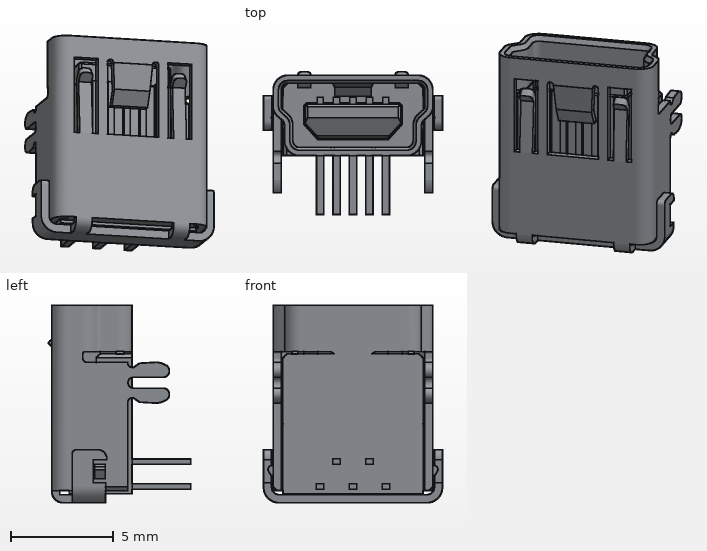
import cadquery as cq
import math

SIDES = (-1, 1)

HEIGHT = 9.6
SHEET = 0.4
SHELL_HALF_WIDTH = 3.88
SHELL_DEPTH = 3.91
SHELL_BOTTOM = 0.6
MOUTH_BOTTOM = 7.34
MOUTH_HALF_WIDTH = 3.32
OUTER_RADIUS = 0.72
STEP_ANGLE = 48
STEP_BACK_RADIUS = 0.63
STEP_FRONT_RADIUS = 0.3
NOTCH_BACK_Y = 2.39
STEP_BACK_Y = NOTCH_BACK_Y - STEP_BACK_RADIUS * math.tan(math.radians(STEP_ANGLE / 2))
STEP_FRONT_Y = STEP_BACK_Y - (SHELL_HALF_WIDTH - MOUTH_HALF_WIDTH) / math.tan(math.radians(STEP_ANGLE))
LIP_WIDTH = 0.14
LIP_DEPTH = 0.26
BACK_INNER_Y = SHELL_DEPTH - SHEET
SIDE_INNER_X = SHELL_HALF_WIDTH - SHEET

SIDE_FRONT_Y = 0.2
NOTCH_BOTTOM = 6.83
NOTCH_BOTTOM_RADIUS = 0.2
NOTCH_TOP_RADIUS = 0.12
SIDE_BEVEL = 0.19
SIDE_BEVEL_LENGTH = 1.92

HOOK_CENTRE_Z = 5.84
HOOK_SLOT_HALF = 0.26
HOOK_TIP = (-1.81, 0.56)
HOOK_NECK_RISE = 0.9

WINDOW_TOP = 8.53
WINDOW_BOTTOM = 4.8
ARM_CENTRE_X = 2.36
ARM_WIDTH = 0.64
ARM_TIP_WIDTH = 0.19
ARM_TIP_Y = 4.08
ARM_TIP_Z = 7.77
ARM_BEND_Y = 3.28
ARM_BEND_RADIUS = 0.48
WINDOW_WIDTH = 1.19
TAB_HALF_WIDTH = 0.99
TAB_TIP_HALF_WIDTH = 0.89
SLIT_WIDTH = 0.3
TAB_HINGE_Z = 8.45
TAB_BEND_Y = 3.32
TAB_BEND_Z = 7.1
TAB_TIP_Y = 2.89
TAB_TIP_Z = 6.38

HOUSING_HALF_WIDTH = 3.4
HOUSING_BOTTOM = 0.44
HOUSING_TOP = 7.24
FLOOR_Z = 3.84
EAR_BACK_Y = 1.75
EAR_THICKNESS = 0.42
FRONT_WALL = 0.4
EAR_CHAMFER = 0.19
BACK_CHAMFER = 0.21
FOOT_BACK_Y = 3.05
BRIDGE_HALF_WIDTH = 0.92
BRIDGE_FLARE = 0.16

TONGUE_HALF_WIDTH = 2.4
TONGUE_FRONT_HALF_WIDTH = 1.71
TONGUE_FRONT_Y = 0.78
TONGUE_SHOULDER_Y = 1.54
TONGUE_BACK_Y = 2.57
TONGUE_CORNER = 0.16
TONGUE_TOP = 8.67
TONGUE_RIDGE_Y = 1.83
TONGUE_SLOPE = 27
TONGUE_STEP_Z = 7.68
TONGUE_STEP = 0.08
TONGUE_CHAMFER = 0.12
PITCH = 0.8
CONTACT_WIDTH = 0.31
CONTACT_BACK_Y = 2.82
CONTACT_TOP = 7.68

PIN_WIDTH = 0.36
PIN_HEIGHT = 0.27
PIN_LENGTH = 2.86
LOW_PIN_Z = 0.8
HIGH_PIN_Z = 2.01

CLIP_HALF_WIDTH = 4.35
CLIP_BACK_Y = 2.91
CLIP_FRONT_Y = 1.29
CLIP_HOOK_Y = 1.22
CLIP_TOP = 2.59
CLIP_RADIUS = 0.77
CLIP_SLOT_BACK_Y = 1.88
CLIP_SLOT_BOTTOM = 0.99
CLIP_SLOT_TOP = 2.1
CLIP_BACK_RADIUS = 0.22
CLIP_FRONT_RADIUS = 0.47
TAIL_INNER_X = 2.05
TAIL_OUTER_X = 2.86
TAIL_RADIUS = 0.58

BARB_FRONT_Y = 1.3
BARB_BACK_Y = 1.81
BARB_POINT_X = 4.14


def box(x0, x1, y0, y1, z0, z1):
    return cq.Workplane("XY").box(x1 - x0, y1 - y0, z1 - z0, centered=False).translate((x0, y0, z0))


def side_prism(outline, x0, x1):
    """Extrude a closed (Y, Z) outline from x0 to x1."""
    return outline.extrude(x1 - x0).translate((x0, 0, 0))


def yz_polygon(points, x0, x1):
    return side_prism(cq.Workplane("YZ").polyline(points).close(), x0, x1)


def around(y, z):
    """Selector for edges whose middle lies at the given Y and Z, at any X."""
    reach = 0.01
    return cq.selectors.BoxSelector((-HEIGHT, y - reach, z - reach), (HEIGHT, y + reach, z + reach))


def mirrored(half):
    return half.union(half.mirror("YZ"))


def shell_blank():
    """Full-height solid of the stepped mouth outline, rounded at every upright edge."""
    right = [
        (MOUTH_HALF_WIDTH, 0),
        (MOUTH_HALF_WIDTH, STEP_FRONT_Y),
        (SHELL_HALF_WIDTH, STEP_BACK_Y),
        (SHELL_HALF_WIDTH, SHELL_DEPTH),
    ]
    left = [(-x, y) for x, y in reversed(right)]
    blank = cq.Workplane("XY").polyline(right + left).close().extrude(HEIGHT)
    upright_edges = (
        (0, OUTER_RADIUS),
        (STEP_FRONT_Y, STEP_FRONT_RADIUS),
        (STEP_BACK_Y, STEP_BACK_RADIUS),
        (SHELL_DEPTH, OUTER_RADIUS),
    )
    for y, radius in upright_edges:
        blank = blank.edges("|Z").edges(around(y, HEIGHT / 2)).fillet(radius)
    return blank


def tube():
    """Bent wall around the opening, with a flared lip, cut back to the back half below the mouth."""
    blank = shell_blank()
    top_outline = blank.faces(">Z").wires().toPending()
    bore = top_outline.offset2D(-SHEET).extrude(-HEIGHT, combine=False)
    flare_angle = math.degrees(math.atan(LIP_WIDTH / LIP_DEPTH))
    flare = (
        blank.faces(">Z").wires().toPending().offset2D(LIP_WIDTH - SHEET)
        .extrude(-LIP_DEPTH, combine=False, taper=flare_angle)
    )
    wall = blank.cut(bore).cut(flare)
    wall = wall.cut(box(-HEIGHT, HEIGHT, 0, SHELL_DEPTH, 0, SHELL_BOTTOM))
    return wall.cut(box(-HEIGHT, HEIGHT, 0, NOTCH_BACK_Y, 0, MOUTH_BOTTOM))


def side_panels():
    """Flat side walls below the notch, bevelled along their lower outside edge."""
    panel = box(SIDE_INNER_X, SHELL_HALF_WIDTH, SIDE_FRONT_Y, NOTCH_BACK_Y, SHELL_BOTTOM, NOTCH_BOTTOM)
    bevel = (
        cq.Workplane("XZ")
        .polyline([
            (SHELL_HALF_WIDTH, SHELL_BOTTOM),
            (SHELL_HALF_WIDTH, SHELL_BOTTOM + SIDE_BEVEL),
            (SHELL_HALF_WIDTH - SIDE_BEVEL, SHELL_BOTTOM),
        ])
        .close()
        .extrude(-SIDE_FRONT_Y - SIDE_BEVEL_LENGTH)
    )
    return mirrored(panel.cut(bevel))


def round_notches(shell):
    """Round the closed end of the side notches, more at the bottom than at the top."""
    for z, radius in ((NOTCH_BOTTOM, NOTCH_BOTTOM_RADIUS), (MOUTH_BOTTOM, NOTCH_TOP_RADIUS)):
        shell = shell.edges("|X").edges(around(NOTCH_BACK_Y, z)).fillet(radius)
    return shell


def board_hooks():
    """Forked hooks that continue the side walls; the lower prong mirrors the upper one."""
    def prong(sign):
        def at(y, rise):
            return (y, HOOK_CENTRE_Z + sign * rise)

        outline = (
            cq.Workplane("YZ")
            .moveTo(*at(NOTCH_BACK_Y, 0))
            .lineTo(*at(SIDE_FRONT_Y, 0))
            .threePointArc(at(0.12, 0.18), at(-0.06, HOOK_SLOT_HALF))
            .lineTo(*at(-1.56, HOOK_SLOT_HALF))
            .threePointArc(at(*HOOK_TIP), at(-1.62, 0.86))
            .threePointArc(at(-1.43, 0.95), at(-1.18, 1.0))
            .lineTo(*at(-0.36, 0.95))
            .lineTo(*at(-0.15, 0.81))
            .threePointArc(at(0.06, 0.75), at(SIDE_FRONT_Y, HOOK_NECK_RISE))
            .lineTo(*at(NOTCH_BACK_Y, HOOK_NECK_RISE))
            .close()
        )
        return side_prism(outline, SIDE_INNER_X, SHELL_HALF_WIDTH)

    return mirrored(prong(1).union(prong(-1)))


def back_openings():
    """Two windows for the spring arms and a wider one, rounded at the top, around the tab."""
    cuts = box(
        -TAB_HALF_WIDTH - SLIT_WIDTH, TAB_HALF_WIDTH + SLIT_WIDTH,
        BACK_INNER_Y, SHELL_DEPTH, WINDOW_BOTTOM, WINDOW_TOP - SLIT_WIDTH / 2,
    )
    for side in SIDES:
        slit_x = side * (TAB_HALF_WIDTH + SLIT_WIDTH / 2)
        slit_end = (
            cq.Workplane("XZ").center(slit_x, WINDOW_TOP - SLIT_WIDTH / 2)
            .circle(SLIT_WIDTH / 2).extrude(-SHEET).translate((0, BACK_INNER_Y, 0))
        )
        middle = side * ARM_CENTRE_X
        window = box(
            middle - WINDOW_WIDTH / 2, middle + WINDOW_WIDTH / 2,
            BACK_INNER_Y, SHELL_DEPTH, WINDOW_BOTTOM, WINDOW_TOP,
        )
        cuts = cuts.union(slit_end).union(window)
    return cuts


def bent_tab():
    """Tab hinged at its top, bent into the cavity in two steps and narrowing below the hinge."""
    inner = [
        (BACK_INNER_Y, WINDOW_TOP),
        (BACK_INNER_Y, TAB_HINGE_Z),
        (TAB_BEND_Y, TAB_BEND_Z),
        (TAB_TIP_Y, TAB_TIP_Z),
    ]
    outer = [(y + SHEET, z) for y, z in reversed(inner)]
    width_outline = [
        (-TAB_HALF_WIDTH, WINDOW_TOP),
        (-TAB_HALF_WIDTH, TAB_HINGE_Z),
        (-TAB_TIP_HALF_WIDTH, TAB_BEND_Z),
        (-TAB_TIP_HALF_WIDTH, TAB_TIP_Z),
        (TAB_TIP_HALF_WIDTH, TAB_TIP_Z),
        (TAB_TIP_HALF_WIDTH, TAB_BEND_Z),
        (TAB_HALF_WIDTH, TAB_HINGE_Z),
        (TAB_HALF_WIDTH, WINDOW_TOP),
    ]
    narrowing = cq.Workplane("XZ").polyline(width_outline).close().extrude(-SHELL_DEPTH)
    return yz_polygon(inner + outer, -TAB_HALF_WIDTH, TAB_HALF_WIDTH).intersect(narrowing)


def spring_arms():
    """Arms rising from the window sills, bent inwards and then out through the back wall."""
    diagonal = SHEET / math.sqrt(2)
    tip = (ARM_TIP_Y, ARM_TIP_Z)
    tip_inner = (ARM_TIP_Y - diagonal, ARM_TIP_Z + diagonal)
    inner_bend = (ARM_BEND_Y, tip_inner[1] - (tip_inner[0] - ARM_BEND_Y))
    outer_bend_y = ARM_BEND_Y + SHEET
    outer_bend = (outer_bend_y, ARM_TIP_Z - (ARM_TIP_Y - outer_bend_y))
    outline = [
        (BACK_INNER_Y, WINDOW_BOTTOM), inner_bend, tip_inner, tip, outer_bend, (SHELL_DEPTH, WINDOW_BOTTOM),
    ]
    arm = yz_polygon(outline, ARM_CENTRE_X - ARM_WIDTH / 2, ARM_CENTRE_X + ARM_WIDTH / 2)
    arm = arm.edges(around(*inner_bend)).fillet(ARM_BEND_RADIUS)
    end_middle = around((tip[0] + tip_inner[0]) / 2, (tip[1] + tip_inner[1]) / 2)
    arm = arm.edges(end_middle).edges("not |X").fillet((ARM_WIDTH - ARM_TIP_WIDTH) / 2)
    return mirrored(arm)


def barbs():
    """Pointed barbs on the side walls that snap behind the clip."""
    outline = [
        (SIDE_INNER_X, 1.87),
        (SHELL_HALF_WIDTH, 1.87),
        (4.07, 1.77),
        (BARB_POINT_X, 1.61),
        (SHELL_HALF_WIDTH, 1.17),
        (SIDE_INNER_X, 1.17),
    ]
    barb = cq.Workplane("XZ").polyline(outline).close().extrude(BARB_FRONT_Y - BARB_BACK_Y)
    return mirrored(barb.translate((0, BARB_FRONT_Y, 0)))


def clip():
    """Bottom strip with two upturned, slotted ends, hung from the back wall by two bent tails."""
    def u_blank(half_width, z0, radius):
        block = box(-half_width, half_width, CLIP_HOOK_Y, CLIP_BACK_Y, z0, CLIP_TOP)
        return block.edges("|Y and <Z").fillet(radius)

    strip = u_blank(CLIP_HALF_WIDTH, 0, CLIP_RADIUS)
    strip = strip.cut(u_blank(CLIP_HALF_WIDTH - SHEET, SHEET, CLIP_RADIUS - SHEET))
    outline = [
        (CLIP_BACK_Y, 0),
        (CLIP_BACK_Y, CLIP_TOP),
        (CLIP_HOOK_Y, CLIP_TOP),
        (CLIP_HOOK_Y, CLIP_SLOT_TOP),
        (CLIP_SLOT_BACK_Y, CLIP_SLOT_TOP),
        (CLIP_SLOT_BACK_Y, CLIP_SLOT_BOTTOM),
        (CLIP_FRONT_Y, CLIP_SLOT_BOTTOM),
        (CLIP_FRONT_Y, 0),
    ]
    side_shape = yz_polygon(outline, -CLIP_HALF_WIDTH, CLIP_HALF_WIDTH)
    side_shape = side_shape.edges("|X and >Z and >Y").fillet(CLIP_BACK_RADIUS)
    side_shape = side_shape.edges("|X and >Z and <Y").fillet(CLIP_FRONT_RADIUS)

    tail = box(TAIL_INNER_X, TAIL_OUTER_X, CLIP_BACK_Y, SHELL_DEPTH, 0, SHELL_BOTTOM)
    tail = tail.edges("|X and >Y and <Z").fillet(TAIL_RADIUS)
    tail = tail.cut(box(TAIL_INNER_X, TAIL_OUTER_X, CLIP_BACK_Y, BACK_INNER_Y, SHEET, SHELL_BOTTOM))
    return strip.intersect(side_shape).union(mirrored(tail))


def housing():
    """Moulded block with a cavity floor, a front wall and an ear along each side."""
    base = box(-HOUSING_HALF_WIDTH, HOUSING_HALF_WIDTH, 0, BACK_INNER_Y, HOUSING_BOTTOM, FLOOR_Z)
    base = base.edges("|Z and >Y").chamfer(BACK_CHAMFER)
    base = base.cut(box(-HEIGHT, HEIGHT, FOOT_BACK_Y, SHELL_DEPTH, 0, SHELL_BOTTOM))
    rim = box(-HOUSING_HALF_WIDTH, HOUSING_HALF_WIDTH, 0, EAR_BACK_Y, FLOOR_Z, HOUSING_TOP)
    rim = rim.faces(">Z").edges("|Y or >Y").chamfer(EAR_CHAMFER)
    inner_half_width = HOUSING_HALF_WIDTH - EAR_THICKNESS
    rim = rim.cut(box(-inner_half_width, inner_half_width, FRONT_WALL, EAR_BACK_Y, FLOOR_Z, HOUSING_TOP))
    bridge_top = BRIDGE_HALF_WIDTH + BRIDGE_FLARE
    bridge = (
        cq.Workplane("XZ")
        .polyline([
            (-BRIDGE_HALF_WIDTH, HOUSING_TOP),
            (BRIDGE_HALF_WIDTH, HOUSING_TOP),
            (bridge_top, MOUTH_BOTTOM),
            (-bridge_top, MOUTH_BOTTOM),
        ])
        .close()
        .extrude(-SHEET)
    )
    return base.union(rim).union(bridge)


def tongue():
    """Contact carrier: a bevelled root and a slightly smaller tip with a sloped front half."""
    right = [
        (TONGUE_FRONT_HALF_WIDTH, TONGUE_FRONT_Y),
        (TONGUE_HALF_WIDTH, TONGUE_SHOULDER_Y),
        (TONGUE_HALF_WIDTH, TONGUE_BACK_Y - TONGUE_CORNER),
        (TONGUE_HALF_WIDTH - TONGUE_CORNER, TONGUE_BACK_Y),
    ]
    left = [(-x, y) for x, y in reversed(right)]
    root = (
        cq.Workplane("XY").workplane(offset=FLOOR_Z)
        .polyline(right + left).close().extrude(TONGUE_STEP_Z - FLOOR_Z)
    )
    tip = (
        root.faces(">Z").wires().toPending().offset2D(-TONGUE_STEP)
        .extrude(TONGUE_TOP - TONGUE_STEP_Z, combine=False)
    )
    root = root.faces(">Z").chamfer(TONGUE_STEP)

    front_y = TONGUE_FRONT_Y + TONGUE_STEP
    back_y = TONGUE_BACK_Y - TONGUE_STEP
    front_top = TONGUE_TOP - (TONGUE_RIDGE_Y - front_y) * math.tan(math.radians(TONGUE_SLOPE))
    wedge = [(TONGUE_RIDGE_Y, TONGUE_TOP), (front_y, front_top), (front_y, TONGUE_TOP)]
    tip = tip.cut(yz_polygon(wedge, -TONGUE_HALF_WIDTH, TONGUE_HALF_WIDTH))
    tip = tip.edges(around(back_y, TONGUE_TOP) + around(front_y, front_top)).chamfer(TONGUE_CHAMFER)
    tip = tip.faces(">Z").edges(">X or <X").chamfer(TONGUE_CHAMFER)
    return root.union(tip)


def contacts_and_pins():
    """Five contacts behind the tongue; their board pins alternate between two rows."""
    metal = cq.Workplane("XY")
    for index in range(-2, 3):
        x = index * PITCH
        contact = box(
            x - CONTACT_WIDTH / 2, x + CONTACT_WIDTH / 2,
            TONGUE_SHOULDER_Y, CONTACT_BACK_Y, FLOOR_Z, CONTACT_TOP,
        )
        z = LOW_PIN_Z if index % 2 == 0 else HIGH_PIN_Z
        pin = box(
            x - PIN_WIDTH / 2, x + PIN_WIDTH / 2,
            -PIN_LENGTH, FRONT_WALL, z - PIN_HEIGHT / 2, z + PIN_HEIGHT / 2,
        )
        metal = metal.union(contact).union(pin)
    return metal


shell = round_notches(tube().union(side_panels())).cut(back_openings())
for detail in (board_hooks(), bent_tab(), spring_arms(), barbs(), clip()):
    shell = shell.union(detail)

result = shell.union(housing()).union(tongue()).union(contacts_and_pins())